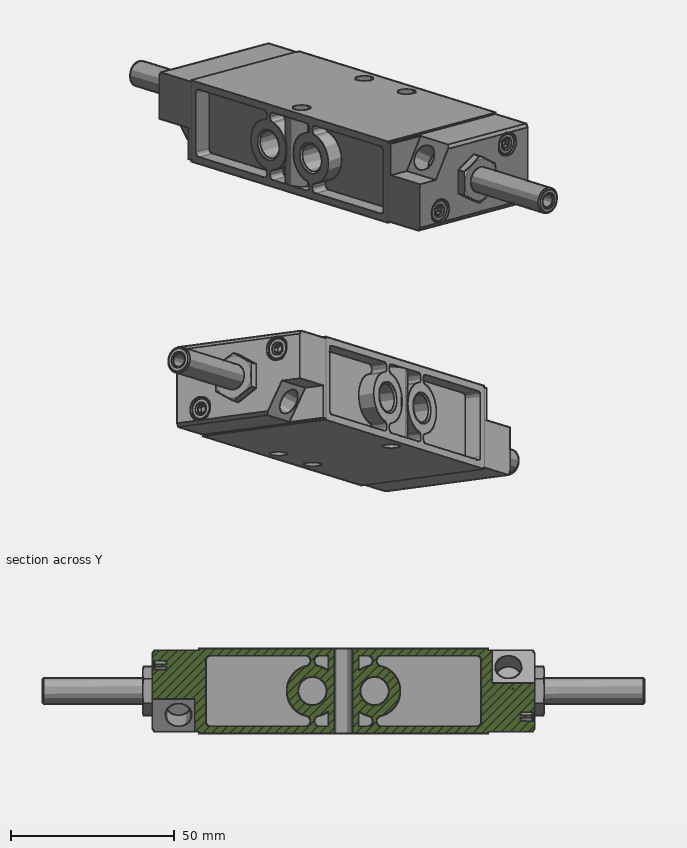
import cadquery as cq
import math

total_length = 184.0
width = 45.0
body_height = 26.0

body_length = 88.4
cap_height = 25.0
cap_end_x = 58.5
cap_chamfer_x = 0.7
cap_chamfer_z = 1.1
front_y = -width / 2

mount_diameter = 5.5
mount_y = 17.5
mount_back_x = 9.5
mount_column_diameter = 2 * (width / 2 - mount_y)
mount_column_width = 9.4

recess_depth = 5.5
recess_length = 84.0
recess_height = 21.5
recess_corner_radius = 1.3
port_x = 9.5
port_boss_diameter = 15.8
port_diameter = 8.57
port_mouth_diameter = 9.7
port_depth = 12.0
web_thickness = 1.4
web_fillet = 1.35

notch_length = 13.0
notch_ledge_z = 2.5
notch_top_y = -15.9
slope_angle = 60.0
pilot_diameter = 8.0
pilot_depth = 6.7
pilot_x = 50.4
pilot_z = 7.3

screw_y = 14.0
screw_z = 7.8
screw_bore_diameter = 7.4
screw_bore_depth = 4.4
screw_head_diameter = 7.0
screw_head_height = 4.0
screw_head_chamfer = 0.4
socket_across_flats = 2.5
socket_depth = 2.0
socket_mouth_diameter = 4.0
socket_mouth_depth = 0.5

stem_diameter = 8.0
stem_tip_diameter = 7.1
nut_across_flats = 13.0
nut_thickness = 2.9
nut_edge_drop = 0.3
stem_bore_diameter = 4.13
stem_bore_mouth = 5.0
stem_bore_depth = 12.0
drill_point_angle = 118.0

HEX_CORNER_RATIO = 2 / math.sqrt(3)
COUNTERSINK_TAPER = 45.0


def box(length, depth, height):
    return cq.Workplane("XY").box(length, depth, height)


def rod_x(diameter, start_x, end_x, y=0.0, z=0.0):
    """Cylinder along X between two positions."""
    plane = cq.Workplane("YZ", origin=(start_x, y, z))
    return plane.circle(diameter / 2).extrude(end_x - start_x)


def hex_x(across_flats, start_x, end_x, y=0.0, z=0.0):
    """Hexagonal prism along X, with corners pointing up and down."""
    plane = cq.Workplane("YZ", origin=(start_x, y, z))
    hexagon = plane.transformed(rotate=(0, 0, 90)).polygon(6, across_flats * HEX_CORNER_RATIO)
    return hexagon.extrude(end_x - start_x)


def half_turn(shape):
    """The same shape turned to the other end of the part, about the Y axis."""
    return shape.rotate((0, 0, 0), (0, 1, 0), 180)


def make_recess():
    """Recess volume: a shallow tray, less the port bosses, their webs and the hole column."""
    def front_plane():
        return cq.Workplane("XZ", origin=(0, front_y + recess_depth, 0))

    tray = front_plane().rect(recess_length, recess_height).extrude(recess_depth)
    for side in (-1, 1):
        boss = front_plane().center(side * port_x, 0).circle(port_boss_diameter / 2)
        web = front_plane().center(side * port_x, 0).rect(web_thickness, recess_height)
        tray = tray.cut(boss.extrude(recess_depth)).cut(web.extrude(recess_depth))
    half_length = recess_length / 2
    outer_corners = [
        edge for edge in tray.edges("|Y").vals()
        if abs(edge.Center().x) > half_length - recess_corner_radius
    ]
    tray = tray.newObject(outer_corners).fillet(recess_corner_radius)
    web_corners = [
        edge for edge in tray.edges("|Y").vals()
        if abs(abs(edge.Center().x) - port_x) < web_thickness
    ]
    tray = tray.newObject(web_corners).fillet(web_fillet)
    column = cq.Workplane("XY", origin=(0, -mount_y, -body_height / 2))
    column = column.circle(mount_column_diameter / 2).extrude(body_height)
    flats = box(mount_column_width, width, body_height)
    return tray.cut(column.intersect(flats))


def make_port(x):
    """Blind round port in the front face, with a countersunk mouth."""
    plane = cq.Workplane("XZ", origin=(x, front_y + port_depth, 0))
    bore = plane.circle(port_diameter / 2).extrude(port_depth)
    mouth_depth = (port_mouth_diameter - port_diameter) / 2
    mouth = cq.Workplane("XZ", origin=(x, front_y, 0)).circle(port_mouth_diameter / 2)
    return bore.union(mouth.extrude(-mouth_depth, taper=COUNTERSINK_TAPER))


def make_body():
    body = box(body_length, width, body_height).cut(make_recess())
    for x in (-port_x, port_x):
        body = body.cut(make_port(x))
    hole_centres = [(-mount_back_x, mount_y), (mount_back_x, mount_y), (0, -mount_y)]
    holes = cq.Workplane("XY", origin=(0, 0, -body_height / 2)).pushPoints(hole_centres)
    return body.cut(holes.circle(mount_diameter / 2).extrude(body_height))


def cut_notch(cap):
    """Cut the lower front corner of the left cap and drill its pilot port."""
    bottom_z = -cap_height / 2
    slope = math.radians(slope_angle)
    bottom_y = notch_top_y + (-notch_ledge_z - bottom_z) / math.tan(slope)
    outline = [
        (front_y, -notch_ledge_z),
        (notch_top_y, -notch_ledge_z),
        (bottom_y, bottom_z),
        (front_y, bottom_z),
    ]
    plane = cq.Workplane("YZ", origin=(-cap_end_x, 0, 0))
    cap = cap.cut(plane.polyline(outline).close().extrude(notch_length))

    pilot_y = notch_top_y + (pilot_z - notch_ledge_z) / math.tan(slope)
    inward = cq.Vector(0, math.sin(slope), math.cos(slope))
    mouth = cq.Vector(-pilot_x, pilot_y, -pilot_z)
    pilot = cq.Solid.makeCylinder(pilot_diameter / 2, pilot_depth, mouth, inward)
    return cap.cut(cq.Workplane(pilot))


def add_screw(cap, y, z):
    """Sink a socket-head screw into the end face of the left cap."""
    floor_x = -cap_end_x + screw_bore_depth
    head_x = floor_x - screw_head_height
    head = rod_x(screw_head_diameter, head_x, floor_x, y, z)
    head = head.faces("<X").edges().chamfer(screw_head_chamfer)
    head = head.cut(hex_x(socket_across_flats, head_x, head_x + socket_depth, y, z))
    socket_mouth = cq.Workplane("YZ", origin=(head_x, y, z)).circle(socket_mouth_diameter / 2)
    head = head.cut(socket_mouth.extrude(socket_mouth_depth, taper=COUNTERSINK_TAPER))
    return cap.cut(rod_x(screw_bore_diameter, -cap_end_x, floor_x, y, z)).union(head)


def make_cap():
    """Left end cap."""
    inner_x = body_length / 2
    half_height = cap_height / 2
    end_profile = [
        (-cap_end_x, half_height - cap_chamfer_z),
        (-cap_end_x + cap_chamfer_x, half_height),
        (-inner_x, half_height),
        (-inner_x, -half_height),
        (-cap_end_x + cap_chamfer_x, -half_height),
        (-cap_end_x, cap_chamfer_z - half_height),
    ]
    plane = cq.Workplane("XZ", origin=(0, -front_y, 0))
    cap = plane.polyline(end_profile).close().extrude(width)
    cap = cut_notch(cap)
    for side in (-1, 1):
        cap = add_screw(cap, side * screw_y, -side * screw_z)
    return cap


def make_nut():
    """Left hexagon nut, its outer corners turned down to a shallow cone."""
    outer_x = -cap_end_x - nut_thickness
    nut = hex_x(nut_across_flats, outer_x, -cap_end_x)
    blank = rod_x(nut_across_flats * HEX_CORNER_RATIO, outer_x, -cap_end_x)
    corner_height = nut_across_flats * (HEX_CORNER_RATIO - 1) / 2
    blank = blank.faces("<X").edges().chamfer(nut_edge_drop, corner_height)
    return nut.intersect(blank)


def make_stem():
    """Left stem, with a blind bore in its end."""
    end_x = -total_length / 2
    mouth_depth = (stem_bore_mouth - stem_bore_diameter) / 2
    stem = rod_x(stem_diameter, end_x, -cap_end_x)
    stem = stem.faces("<X").edges().chamfer((stem_diameter - stem_tip_diameter) / 2)
    stem = stem.cut(rod_x(stem_bore_diameter, end_x, end_x + stem_bore_depth))
    mouth = cq.Workplane("YZ", origin=(end_x, 0, 0)).circle(stem_bore_mouth / 2)
    stem = stem.cut(mouth.extrude(mouth_depth, taper=COUNTERSINK_TAPER))
    bore_radius = stem_bore_diameter / 2
    tip_length = bore_radius / math.tan(math.radians(drill_point_angle / 2))
    tip_base = cq.Vector(end_x + stem_bore_depth, 0, 0)
    tip = cq.Solid.makeCone(bore_radius, 0, tip_length, tip_base, cq.Vector(1, 0, 0))
    return stem.cut(cq.Workplane(tip))


left_end = make_cap().union(make_nut()).union(make_stem())
result = make_body().union(left_end, clean=False).union(half_turn(left_end), clean=False)